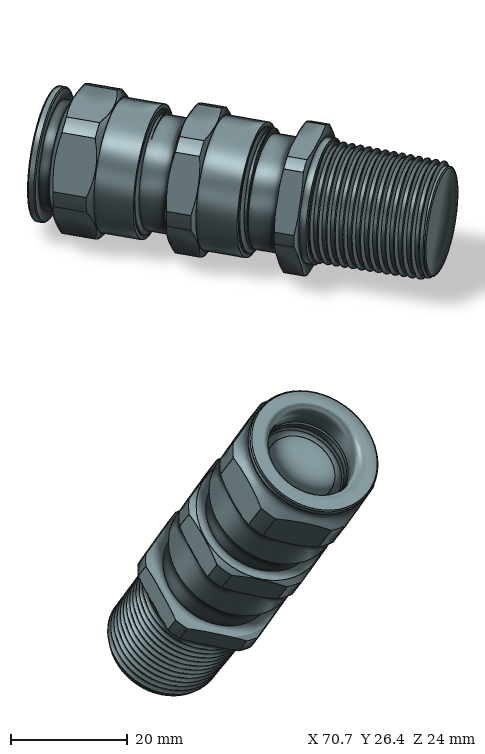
import cadquery as cq
import math


hex_sides = 6
across_flats = 24.0
corner_diameter = 26.1
entry_corner_diameter = 26.4
collar_diameter = 23.6

length = 70.7
bush_flange_end = 1.4
nut_start = 3.3
bush_end = 4.45
washer_start = 4.9
washer_end = 6.1
seal_tip = 6.45
seal_face = 6.9
middle_start = 8.5
nut_hex_end = 11.95
nut_end = 19.0
middle_thread_end = 19.8
middle_hex_start = 24.75
middle_hex_end = 30.3
entry_start = 31.1
middle_end = 37.6
entry_neck_thread_end = 39.1
entry_hex_start = 44.4
entry_hex_end = 48.45
entry_collar_end = 49.7

bush_flange_diameter = 23.6
bush_diameter = 19.4
bush_bore = 16.05
bush_edge = 0.2
mouth_radius = (bush_diameter - bush_bore) / 2

washer_bore = 15.8
seal_cone_diameter = 15.55
seal_tip_diameter = 12.7

nut_front_diameter = 19.65
nut_front_chamfer = 1.7
nut_rear_chamfer = 1.0
middle_front_chamfer = 0.6
middle_rear_chamfer = 0.6
hex_face_diameter = 23.75
entry_front_chamfer = 0.3
entry_rear_chamfer = 0.2
entry_face_diameter = 24.5

entry_first_crest = 50.7
entry_last_crest = 70.3
entry_whole_turns = 13
pitch = (entry_last_crest - entry_first_crest) / entry_whole_turns
flank_angle = math.radians(30)
ridge_root_depth = 0.1
neck_diameter = 20.2
neck_crest_diameter = 21.9
neck_turns_before_crest = 3
neck_turns = 4.5
thread_clearance = 0.1
socket_diameter = neck_crest_diameter + 2 * thread_clearance
middle_crest = 19.45
entry_neck_crest = 38.25

entry_collar_diameter = 22.1
entry_root_diameter = 19.9
entry_ridge_height = 0.7
entry_taper = math.radians(0.9)
entry_run_in_turns = 1
entry_run_out_turns = 0.1
entry_tip_chamfer = 0.2
entry_thread_length = length - entry_collar_end
entry_tip_diameter = entry_root_diameter - 2 * entry_thread_length * math.tan(entry_taper)


def revolved(profile):
    """Solid of revolution about X from (x, diameter) corners of a closed half section."""
    points = [(x, diameter / 2) for x, diameter in profile]
    return cq.Workplane("XY").polyline(points).close().revolve(360, (0, 0, 0), (1, 0, 0))


def cylinder(start, end, diameter):
    return cq.Workplane("YZ").workplane(offset=start).circle(diameter / 2).extrude(end - start)


def hexagon(start, end, corners, front_chamfer, front_diameter, rear_chamfer, rear_diameter):
    """Hexagon with flats facing +Z and -Z, rounded corners and conical chamfers at both ends."""
    point_diameter = across_flats / math.cos(math.pi / hex_sides)
    outline = cq.Workplane("YZ").workplane(offset=start).polygon(hex_sides, point_diameter)
    prism = outline.extrude(end - start)
    turned = revolved([
        (start, 0),
        (start, front_diameter),
        (start + front_chamfer, corners),
        (end - rear_chamfer, corners),
        (end, rear_diameter),
        (end, 0),
    ])
    return prism.intersect(turned)


def ridge(first_crest, turns, root_radius, height, taper=0.0):
    """Helical ridge on a parallel or narrowing core, its first crest under the axis at first_crest."""
    base_radius = root_radius - ridge_root_depth
    full_height = height + ridge_root_depth
    half_width = full_height * math.tan(flank_angle)
    cone = {"angle": -math.degrees(taper)} if taper else {}
    path = cq.Wire.makeHelix(pitch, turns * pitch, base_radius, **cone)
    profile = cq.Workplane("XZ").polyline([
        (base_radius, -half_width),
        (base_radius + full_height, 0),
        (base_radius, half_width),
    ]).close()
    coil = profile.sweep(cq.Workplane(path), isFrenet=True)
    return coil.rotate((0, 0, 0), (0, 1, 0), 90).translate((first_crest, 0, 0))


def neck_ridge(underside_crest, thread_end):
    """Parallel thread ridge cut off square at thread_end."""
    start = underside_crest - neck_turns_before_crest * pitch
    height = (neck_crest_diameter - neck_diameter) / 2
    coil = ridge(start, neck_turns, neck_diameter / 2, height)
    return coil.intersect(cylinder(start - pitch, thread_end, socket_diameter))


def make_mouth_cut():
    """Bore that flares in a quarter round from the bush bore out to the neck diameter."""
    bore_radius = bush_bore / 2
    mouth_edge_radius = bore_radius + mouth_radius
    arc_middle = mouth_radius * (1 - math.sin(math.radians(45)))
    half_section = (
        cq.Workplane("XY")
        .lineTo(0, mouth_edge_radius)
        .threePointArc((arc_middle, bore_radius + arc_middle), (mouth_radius, bore_radius))
        .lineTo(bush_end, bore_radius)
        .lineTo(bush_end, 0)
        .close()
    )
    return half_section.revolve(360, (0, 0, 0), (1, 0, 0))


def make_bush():
    body = cylinder(0, bush_flange_end, bush_flange_diameter).edges().chamfer(bush_edge)
    body = body.union(cylinder(bush_flange_end, bush_end, bush_diameter))
    return body.cut(make_mouth_cut())


def make_nut():
    body = hexagon(
        nut_start, nut_hex_end, corner_diameter,
        nut_front_chamfer, nut_front_diameter, nut_rear_chamfer, hex_face_diameter,
    )
    body = body.union(cylinder(nut_hex_end, nut_end, collar_diameter))
    body = body.cut(cylinder(nut_start, washer_start, bush_diameter))
    return body.cut(cylinder(washer_start, nut_end, socket_diameter))


def make_washer():
    disc = cylinder(washer_start, washer_end, socket_diameter)
    return disc.cut(cylinder(washer_start, washer_end, washer_bore))


def make_seal():
    return revolved([
        (seal_tip, 0),
        (seal_tip, seal_tip_diameter),
        (seal_face, seal_cone_diameter),
        (seal_face, socket_diameter),
        (middle_start, socket_diameter),
        (middle_start, 0),
    ])


def make_middle_body():
    body = cylinder(middle_start, middle_hex_start, neck_diameter)
    body = body.union(hexagon(
        middle_hex_start, middle_hex_end, corner_diameter,
        middle_front_chamfer, hex_face_diameter, middle_rear_chamfer, hex_face_diameter,
    ))
    body = body.union(cylinder(middle_hex_end, middle_end, collar_diameter))
    body = body.cut(cylinder(entry_start, middle_end, socket_diameter))
    return body.union(neck_ridge(middle_crest, middle_thread_end))


def make_entry_ridge():
    """Tapered ridge trimmed by the collar face and by a 45 degree lead-in at the tip."""
    start = entry_first_crest - entry_run_in_turns * pitch
    turns = entry_run_in_turns + entry_whole_turns + entry_run_out_turns
    root_radius = entry_root_diameter / 2 - (start - entry_collar_end) * math.tan(entry_taper)
    coil = ridge(start, turns, root_radius, entry_ridge_height, entry_taper)
    tip = entry_tip_diameter - 2 * entry_tip_chamfer
    ridge_end = length - entry_tip_chamfer
    lead_in = (entry_collar_diameter - tip) / 2
    envelope = revolved([
        (entry_collar_end, 0),
        (entry_collar_end, entry_collar_diameter),
        (ridge_end - lead_in, entry_collar_diameter),
        (ridge_end, tip),
        (ridge_end, 0),
    ])
    return coil.intersect(envelope)


def make_entry_body():
    body = cylinder(entry_start, entry_hex_start, neck_diameter)
    body = body.union(hexagon(
        entry_hex_start, entry_hex_end, entry_corner_diameter,
        entry_front_chamfer, entry_face_diameter, entry_rear_chamfer, entry_face_diameter,
    ))
    body = body.union(cylinder(entry_hex_end, entry_collar_end, entry_collar_diameter))
    body = body.union(neck_ridge(entry_neck_crest, entry_neck_thread_end))
    core = revolved([
        (entry_collar_end, 0),
        (entry_collar_end, entry_root_diameter),
        (length - entry_tip_chamfer, entry_tip_diameter),
        (length, entry_tip_diameter - 2 * entry_tip_chamfer),
        (length, 0),
    ])
    return body.union(core.union(make_entry_ridge()))


bush = make_bush()
nut = make_nut()
washer = make_washer()
seal = make_seal()
middle_body = make_middle_body()
entry_body = make_entry_body()

result = cq.Compound.makeCompound([
    bush.solids().val(),
    nut.solids().val(),
    washer.solids().val(),
    seal.solids().val(),
    middle_body.solids().val(),
    entry_body.solids().val(),
])